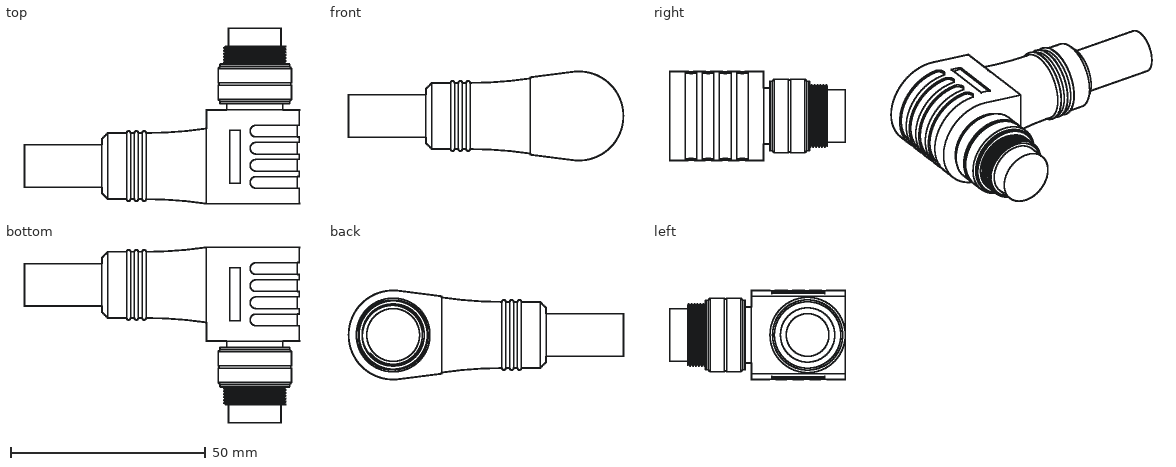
import cadquery as cq
import math


body_radius = 11.5
body_left_x = -12.5
body_left_half_height = 10.0
body_front_y = -9.7
body_back_y = 14.5
body_middle_y = (body_front_y + body_back_y) / 2

groove_count = 4
groove_width = 3.0
groove_pitch = 4.4
groove_depth = 0.5
groove_start_x = -1.2

recess_left_x = -6.5
recess_width = 2.8
recess_length = 13.7
recess_floor_z = 10.3

cable_end_x = -59.3
cable_radius = 5.5
sleeve_end_x = -39.4
sleeve_end_radius = 7.0
sleeve_radius = 8.55
sleeve_root_radius = 9.7
ring_count = 3
ring_first_x = -32.5
ring_pitch = 2.0
ring_tube_radius = 0.5

tip_y = 35.5
tip_radius = 13.6 / 2
thread_back_y = 30.85
thread_pitch = 0.75
thread_radius = 16.0 / 2
thread_depth = 0.46
thread_foot_width = 0.7
thread_root_sink = 0.1
neck_radius = 14.5 / 2
nut_front_y = 16.0
nut_back_y = 26.3
nut_radius = 19.0 / 2
nut_rim_radius = 18.0 / 2
nut_rim_length = 0.7
nut_rim_chamfer = 0.2
nut_groove_radius = 18.6 / 2
nut_groove_width = 0.6

overlap = 0.5


def cylinder_along_y(radius, start_y, end_y):
    return cq.Workplane("XZ", origin=(0, start_y, 0)).circle(radius).extrude(start_y - end_y)


def make_body():
    """Round-ended prism whose flat sides are tangent to the round end."""
    corner_distance = math.hypot(body_left_x, body_left_half_height)
    corner_angle = math.atan2(body_left_half_height, body_left_x)
    tangent_angle = corner_angle - math.acos(body_radius / corner_distance)
    tangent_x = body_radius * math.cos(tangent_angle)
    tangent_z = body_radius * math.sin(tangent_angle)
    return (
        cq.Workplane("XZ", origin=(0, body_front_y, 0))
        .moveTo(body_left_x, -body_left_half_height)
        .lineTo(tangent_x, -tangent_z)
        .threePointArc((body_radius, 0), (tangent_x, tangent_z))
        .lineTo(body_left_x, body_left_half_height)
        .close()
        .extrude(body_front_y - body_back_y)
    )


def make_grip_grooves():
    """Round-ended grooves that wrap from the top face to the bottom face."""
    groove_end_x = body_radius + groove_width
    groove_length = groove_end_x - groove_start_x
    first_y = body_middle_y - groove_pitch * (groove_count - 1) / 2
    centers = [
        ((groove_start_x + groove_end_x) / 2, first_y + index * groove_pitch)
        for index in range(groove_count)
    ]
    slots = (
        cq.Workplane("XY")
        .pushPoints(centers)
        .slot2D(groove_length, groove_width)
        .extrude(2 * body_radius, both=True)
    )
    return slots.cut(cylinder_along_y(body_radius - groove_depth, body_front_y, body_back_y))


def make_label_recess():
    """Flat-bottomed rectangular recess in the upper face."""
    return cq.Workplane("XY").box(
        recess_width, recess_length, body_radius, centered=False
    ).translate((recess_left_x, body_middle_y - recess_length / 2, recess_floor_z))


def make_cable_sleeve():
    """Cable and strain relief, revolved about the cable axis."""
    chamfer = sleeve_radius - sleeve_end_radius
    flare_start_x = ring_first_x + (ring_count - 1) * ring_pitch + ring_tube_radius
    sleeve = (
        cq.Workplane("XY")
        .moveTo(cable_end_x, 0)
        .lineTo(cable_end_x, cable_radius)
        .lineTo(sleeve_end_x, cable_radius)
        .lineTo(sleeve_end_x, sleeve_end_radius)
        .lineTo(sleeve_end_x + chamfer, sleeve_radius)
        .lineTo(flare_start_x, sleeve_radius)
        .tangentArcPoint((body_left_x, sleeve_root_radius), relative=False)
        .lineTo(body_left_x + overlap, sleeve_root_radius)
        .lineTo(body_left_x + overlap, 0)
        .close()
        .revolve(360, (0, 0, 0), (1, 0, 0))
    )
    for index in range(ring_count):
        ring_x = ring_first_x + index * ring_pitch
        ring = (
            cq.Workplane("XY")
            .center(ring_x, sleeve_radius)
            .circle(ring_tube_radius)
            .revolve(360, (0, -sleeve_radius, 0), (1, -sleeve_radius, 0))
        )
        sleeve = sleeve.union(ring)
    return sleeve


def make_nut():
    """Coupling nut with a stepped rim at each end and a groove at mid-length."""
    slope = nut_radius - nut_rim_radius
    middle_y = (nut_front_y + nut_back_y) / 2
    half_profile = [
        (nut_rim_radius - nut_rim_chamfer, nut_front_y),
        (nut_rim_radius, nut_front_y + nut_rim_chamfer),
        (nut_rim_radius, nut_front_y + nut_rim_length),
        (nut_radius, nut_front_y + nut_rim_length + slope),
        (nut_radius, middle_y - nut_groove_width / 2),
        (nut_groove_radius, middle_y - nut_groove_width / 2),
    ]
    mirrored = [(radius, 2 * middle_y - y) for radius, y in reversed(half_profile)]
    outline = [(0, nut_front_y)] + half_profile + mirrored + [(0, nut_back_y)]
    return cq.Workplane("XY").polyline(outline).close().revolve(360, (0, 0, 0), (0, 1, 0))


def make_thread():
    """Single-start sharp-crested helical ridge on a core, trimmed square at its tip end."""
    core_radius = thread_radius - thread_depth
    thread_front_y = nut_back_y - thread_pitch
    untrimmed_back_y = thread_back_y + 2 * thread_pitch
    foot_radius = core_radius - thread_root_sink
    foot_half_width = thread_foot_width / 2
    path = cq.Wire.makeHelix(thread_pitch, untrimmed_back_y - thread_front_y - thread_pitch, core_radius)
    ridge = (
        cq.Workplane("XZ")
        .polyline([
            (foot_radius, -foot_half_width),
            (thread_radius, 0),
            (foot_radius, foot_half_width),
        ])
        .close()
        .sweep(cq.Workplane(path), isFrenet=True)
        .rotate((0, 0, 0), (1, 0, 0), -90)
        .translate((0, thread_front_y, 0))
    )
    core = cylinder_along_y(core_radius, thread_front_y - thread_pitch, untrimmed_back_y)
    trim = cylinder_along_y(thread_radius + overlap, thread_back_y, untrimmed_back_y + overlap)
    return core.union(ridge).cut(trim)


def make_connector():
    neck = cylinder_along_y(neck_radius, body_back_y - overlap, nut_front_y + overlap)
    tip = cylinder_along_y(tip_radius, nut_back_y, tip_y)
    return make_thread().union(tip).union(make_nut()).union(neck)


upper_recess = make_label_recess()
lower_recess = upper_recess.mirror("XY")

body = make_body().cut(make_grip_grooves()).cut(upper_recess).cut(lower_recess)
result = body.union(make_cable_sleeve()).union(make_connector())